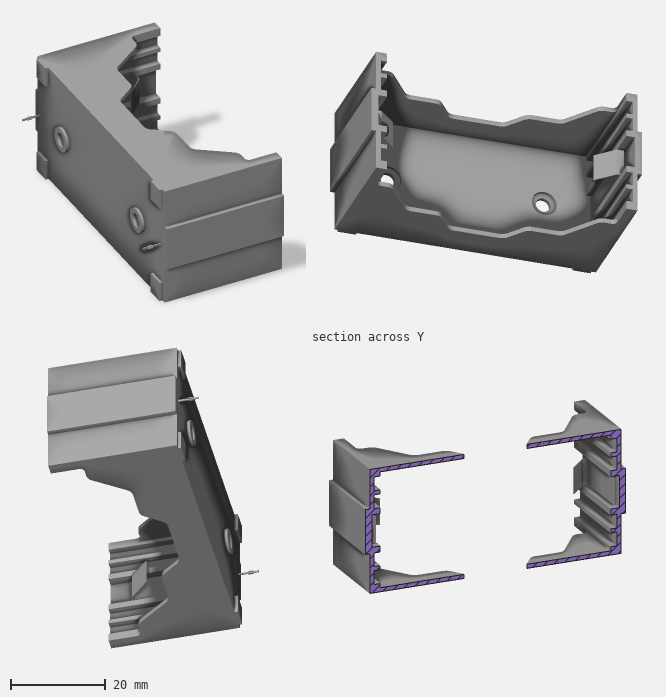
import cadquery as cq
import math

overall_length = 60.1
housing_depth = 27.8
housing_height = 28.05
band_height = 10.2
band_thickness = 1.0
wall = 1.0
body_length = overall_length - 2 * band_thickness

rib_face_x = 26.55
groove_depth = 1.4
channel_depth = 1.9
channel_height = 7.2
inner_rib_height = 1.45
outer_rib_height = 1.0
groove_height = 3.0
inner_groove_z = channel_height / 2 + inner_rib_height
outer_groove_z = inner_groove_z + groove_height + outer_rib_height

bottom_half_width = 6.05
bottom_y = 7.5
ledge_inner_x = 9.75
ledge_outer_x = 17.25
ledge_y = 12.5
shoulder_x = 23.1
shoulder_y = 20.7
step_radius = 2.0
corner_radius = 1.0

standoff = 0.7
foot_length = 4.0
foot_height = 4.6
foot_inset = 0.95
boss_x = 17.25
boss_diameter = 5.5
screw_hole_diameter = 3.2
boss_seat = 0.95

sheet = 0.2
contact_x = 27.6
contact_width = 6.0
contact_top_y = 22.65
bend_x = 26.15
leaf_run = 3.9
pin_width = 0.5
pin_length = 4.45
bump_height = 0.25
bump_start_y = -2.0
bump_end_y = -3.35


def box(x_range, y_range, z_range):
    """Axis-aligned box between the given limits."""
    size = [limits[1] - limits[0] for limits in (x_range, y_range, z_range)]
    corner = (x_range[0], y_range[0], z_range[0])
    return cq.Workplane("XY").box(*size, centered=False).translate(corner)


def centred_box(length, y_range, height):
    """Box centred on X and Z."""
    return box((-length / 2, length / 2), y_range, (-height / 2, height / 2))


def base_cylinder(x, diameter, y_start, y_end):
    """Cylinder along Y at the given X, centred on Z."""
    start = cq.Vector(x, y_start, 0)
    return cq.Workplane(cq.Solid.makeCylinder(diameter / 2, y_end - y_start, start, cq.Vector(0, 1, 0)))


def side_opening():
    """Stepped cutter for the side walls, with rounded steps."""
    right_side = [
        (bottom_half_width, bottom_y),
        (ledge_inner_x, ledge_y),
        (ledge_outer_x, ledge_y),
        (shoulder_x, shoulder_y),
        (rib_face_x, shoulder_y),
        (rib_face_x, housing_depth),
    ]
    left_side = [(-x, y) for x, y in reversed(right_side)]
    cutter = (
        cq.Workplane("XY")
        .polyline(right_side + left_side)
        .close()
        .extrude(housing_height / 2, both=True)
    )

    def is_step(edge):
        return abs(edge.Center().x) < (shoulder_x + rib_face_x) / 2

    def is_shoulder_corner(edge):
        return not is_step(edge) and edge.Center().y < housing_depth - corner_radius

    cutter = cutter.edges("|Z").filter(is_step).fillet(step_radius)
    return cutter.edges("|Z").filter(is_shoulder_corner).fillet(corner_radius)


def battery_cavity():
    """Open space for the battery, with the grooves and contact channels at both ends."""
    inside = (wall, housing_depth)
    groove_length = 2 * (rib_face_x + groove_depth)
    cavity = centred_box(2 * rib_face_x, inside, housing_height - 2 * wall)
    cavity = cavity.union(centred_box(2 * (rib_face_x + channel_depth), inside, channel_height))
    for groove_start in (inner_groove_z, outer_groove_z):
        for z in (groove_start, -groove_start - groove_height):
            groove = box((-groove_length / 2, groove_length / 2), inside, (z, z + groove_height))
            cavity = cavity.union(groove)
    return cavity


def foot(x_side, z_side):
    """Corner foot, flush with the side wall."""
    centre_x = x_side * (body_length / 2 - foot_inset - foot_length / 2)
    centre_z = z_side * (housing_height - foot_height) / 2
    return centred_box(foot_length, (-standoff, wall), foot_height).translate((centre_x, 0, centre_z))


def make_housing():
    """Battery holder moulding with its feet, bosses and contact slots."""
    body = centred_box(body_length, (0, housing_depth), housing_height)
    body = body.union(centred_box(overall_length, (0, housing_depth), band_height))
    body = body.cut(side_opening()).cut(battery_cavity())

    for side in (-1, 1):
        for z_side in (-1, 1):
            body = body.union(foot(side, z_side))

        x = side * boss_x
        body = body.union(base_cylinder(x, boss_diameter, -standoff, wall))
        body = body.cut(base_cylinder(x, boss_diameter, boss_seat - standoff, wall))
        body = body.cut(base_cylinder(x, screw_hole_diameter, -standoff, wall))

        body = body.cut(centred_box(sheet, (0, wall), pin_width).translate((side * contact_x, 0, 0)))
    return body.solids().val()


def contact_strip():
    """Upright plate folded over at the top into a leaf that slopes down at 45 degrees."""
    back_x = -contact_x - sheet / 2
    front_x = -contact_x + sheet / 2
    mitre = sheet * math.tan(math.radians(22.5))
    square_end = sheet * math.sqrt(0.5)
    tip_x = -bend_x + leaf_run
    tip_y = contact_top_y - leaf_run
    outline = [
        (back_x, wall),
        (back_x, contact_top_y),
        (-bend_x, contact_top_y),
        (tip_x, tip_y),
        (tip_x - square_end, tip_y - square_end),
        (-bend_x - mitre, contact_top_y - sheet),
        (front_x, contact_top_y - sheet),
        (front_x, wall),
    ]
    return cq.Workplane("XY").polyline(outline).close().extrude(contact_width / 2, both=True)


def retaining_bump():
    """Tapered bump on the -X face of the upper half of the pin."""
    pin_face_x = -contact_x - sheet / 2
    outline = [
        (-contact_x, bump_start_y),
        (pin_face_x, bump_start_y),
        (pin_face_x - bump_height, bump_start_y - bump_height),
        (pin_face_x - bump_height, bump_end_y + bump_height),
        (pin_face_x, bump_end_y),
        (-contact_x, bump_end_y),
    ]
    return cq.Workplane("XY").polyline(outline).close().extrude(pin_width / 2)


def make_contact(turn):
    """One contact, built at the -X end and turned about the Y axis."""
    pin = centred_box(sheet, (-pin_length, wall), pin_width).translate((-contact_x, 0, 0))
    bump = retaining_bump()
    opposite_bump = bump.rotate((-contact_x, 0, 0), (-contact_x, 1, 0), 180)
    contact = contact_strip().union(pin).union(bump).union(opposite_bump)
    return contact.rotate((0, 0, 0), (0, 1, 0), turn).solids().val()


housing = make_housing()
contacts = [make_contact(turn) for turn in (0, 180)]

result = cq.Compound.makeCompound([housing, *contacts])